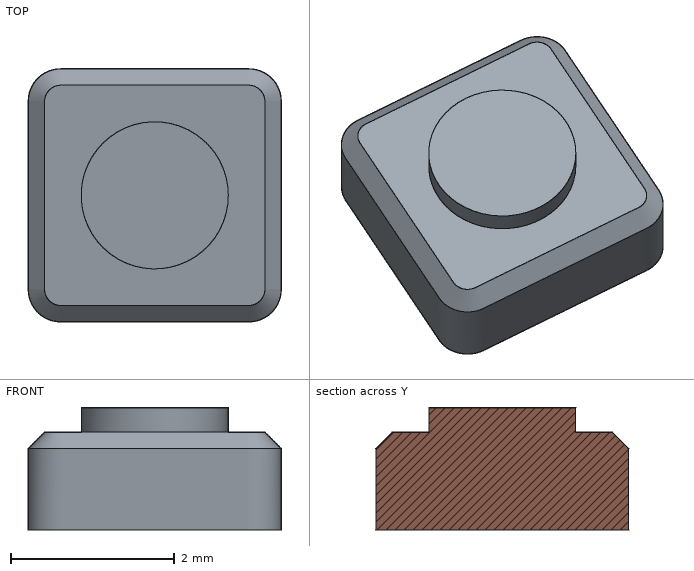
import cadquery as cq

side = 3.1
total_height = 1.5
body_height = 1.2
corner_radius = 0.4
top_chamfer = 0.2
button_diameter = 1.8

button_height = total_height - body_height

body = (
    cq.Workplane("XY")
    .rect(side, side)
    .extrude(body_height)
    .edges("|Z")
    .fillet(corner_radius)
    .faces(">Z")
    .edges()
    .chamfer(top_chamfer)
)

button = (
    cq.Workplane("XY")
    .workplane(offset=body_height)
    .circle(button_diameter / 2)
    .extrude(button_height)
)

result = body.union(button)